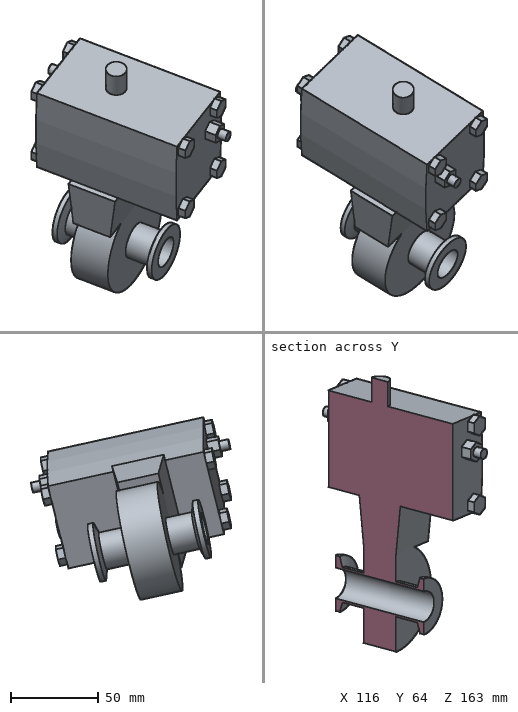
import cadquery as cq


disc_diameter = 64.0
disc_thickness = 24.1
bore_diameter = 18.5
tube_diameter = 21.7
flange_diameter = 34.0
flange_rim = 3.1
flange_taper = 2.0
end_to_end = 64.9

bracket_bottom = 27.2
bracket_height = 29.8
bracket_top_length = 30.5
bracket_width = 58.5

housing_length = 91.6
housing_offset = 8.0
housing_height = 59.0
housing_flat_height = 18.7
housing_mid_width = 53.8
housing_end_width = 51.5

overall_height = 163.0
stem_diameter = 12.0

hex_corners = 12.0
bolt_head_height = 4.5
bolt_spacing_y = 37.7
bolt_spacing_z = 48.1
nut_height = 6.8
nut_y = 13.0
nut_above_middle = 10.3
pin_diameter = 6.0
overall_length = 116.0

flange_face = end_to_end / 2
housing_bottom = bracket_bottom + bracket_height
housing_top = housing_bottom + housing_height
housing_middle = housing_bottom + housing_height / 2
stem_top = overall_height - disc_diameter / 2
pin_length = (overall_length - housing_length) / 2
bolt_places = [
    (y, housing_middle + z)
    for y in (-bolt_spacing_y / 2, bolt_spacing_y / 2)
    for z in (-bolt_spacing_z / 2, bolt_spacing_z / 2)
]
nut_place = (nut_y, housing_middle + nut_above_middle)


def cylinder_along_x(diameter, length):
    """Cylinder on the flow axis, centred on the valve."""
    return cq.Workplane("YZ").circle(diameter / 2).extrude(length / 2, both=True)


def pipe_end():
    """Tube with a tapered clamp flange, running from the valve centre to +X."""
    tube_radius = tube_diameter / 2
    flange_radius = flange_diameter / 2
    rim_start = flange_face - flange_rim
    return (
        cq.Workplane("XY")
        .moveTo(0, 0)
        .lineTo(0, tube_radius)
        .lineTo(rim_start - flange_taper, tube_radius)
        .lineTo(rim_start, flange_radius)
        .lineTo(flange_face, flange_radius)
        .lineTo(flange_face, 0)
        .close()
        .revolve(360, (0, 0, 0), (1, 0, 0))
    )


def valve_body():
    """Round valve body, cut flat under the bracket, with both pipe ends."""
    flat_cutter = cq.Workplane("XY").workplane(offset=bracket_bottom)
    flat_cutter = flat_cutter.rect(disc_thickness, disc_diameter).extrude(disc_diameter)
    disc = cylinder_along_x(disc_diameter, disc_thickness).cut(flat_cutter)
    end = pipe_end()
    return disc.union(end).union(end.mirror("YZ"))


def bracket():
    """Wedge that widens from the valve body thickness up to the housing."""
    outline = [
        (-disc_thickness / 2, bracket_bottom),
        (disc_thickness / 2, bracket_bottom),
        (bracket_top_length / 2, housing_bottom),
        (-bracket_top_length / 2, housing_bottom),
    ]
    return cq.Workplane("XZ").polyline(outline).close().extrude(bracket_width / 2, both=True)


def housing():
    """Actuator housing with an eight-sided cross-section."""
    mid = housing_mid_width / 2
    end = housing_end_width / 2
    flat_bottom = housing_middle - housing_flat_height / 2
    flat_top = housing_middle + housing_flat_height / 2
    outline = [
        (-end, housing_bottom),
        (end, housing_bottom),
        (mid, flat_bottom),
        (mid, flat_top),
        (end, housing_top),
        (-end, housing_top),
        (-mid, flat_top),
        (-mid, flat_bottom),
    ]
    section = cq.Workplane("YZ", origin=(housing_offset, 0, 0)).polyline(outline).close()
    return section.extrude(housing_length / 2, both=True)


def end_cap_fasteners():
    """Bolt heads, nut and pin on the +X end of the housing."""
    end_face = cq.Workplane("YZ", origin=(housing_offset + housing_length / 2, 0, 0))

    def hexagons(places, height):
        hexagon = cq.Sketch().regularPolygon(hex_corners / 2, 6)
        return end_face.pushPoints(places).placeSketch(hexagon).extrude(height)

    bolts = hexagons(bolt_places, bolt_head_height)
    nut = hexagons([nut_place], nut_height)
    pin = end_face.pushPoints([nut_place]).circle(pin_diameter / 2).extrude(pin_length)
    return bolts.union(nut).union(pin)


def stem():
    """Round stem standing on the housing."""
    base = cq.Workplane("XY").workplane(offset=housing_top)
    return base.circle(stem_diameter / 2).extrude(stem_top - housing_top)


fasteners = end_cap_fasteners()
result = (
    valve_body()
    .union(bracket())
    .union(housing())
    .union(stem())
    .union(fasteners)
    .union(fasteners.mirror("YZ", (housing_offset, 0, 0)))
    .cut(cylinder_along_x(bore_diameter, end_to_end))
)